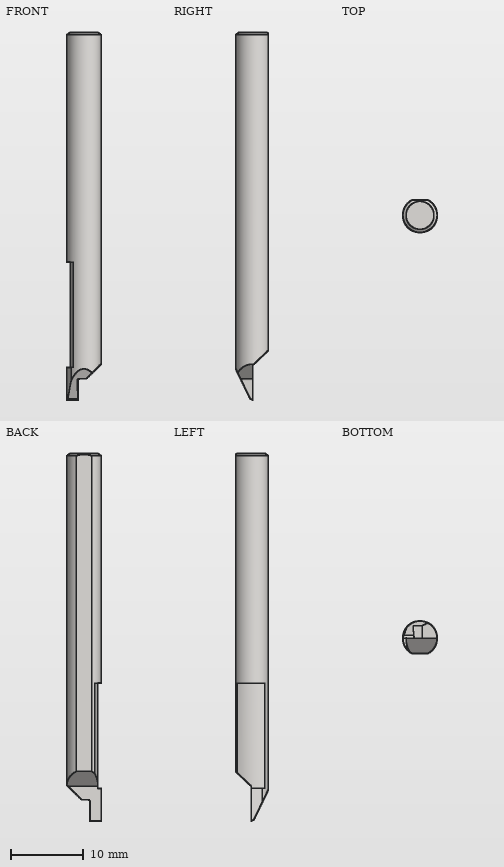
import cadquery as cq
import math

length = 50.8
diameter = 4.8
radius = diameter / 2
flat_y = 2.15
end_chamfer_radial = 0.45
end_chamfer_axial = 0.35

relief_bottom = 4.5
relief_top = 19.05
relief_depth = 0.45
relief_half_width = 1.9

rake_foot = 4.85
rake_top = 6.85
clearance_width = 1.6
heel_depth = 0.4
heel_height = 0.2
underside_top = 4.3
shoulder_height = 2.95
shoulder_edge_x = 0.3
bevel_top = 5.0
blade_width = 1.6
blade_taper = 5.0
shoulder_fillet = 0.25

margin = 1.0
outside = radius + margin


def make_shank():
    body = cq.Workplane("XY").circle(radius).extrude(length)
    body = body.faces(">Z").chamfer(end_chamfer_axial, end_chamfer_radial)
    beyond_flat = (
        cq.Workplane("XY")
        .box(2 * outside, margin, length, centered=(True, False, False))
        .translate((0, flat_y, 0))
    )
    return body.cut(beyond_flat)


def side_relief():
    edge_x = -math.sqrt(radius**2 - relief_half_width**2)
    return (
        cq.Workplane("XY", origin=(0, 0, relief_bottom))
        .moveTo(edge_x, -relief_half_width)
        .threePointArc((relief_depth - radius, 0), (edge_x, relief_half_width))
        .lineTo(-outside, relief_half_width)
        .lineTo(-outside, -relief_half_width)
        .close()
        .extrude(relief_top - relief_bottom)
    )


def rake_cut():
    slope = (rake_top - rake_foot) / flat_y
    profile = [
        (0, -margin),
        (0, rake_foot),
        (outside, rake_foot + slope * outside),
        (outside, -margin),
    ]
    return cq.Workplane("YZ").polyline(profile).close().extrude(outside, both=True)


def underside_cut():
    slope = (underside_top - heel_height) / (radius - heel_depth)
    profile = [
        (0, 0),
        (-heel_depth, heel_height),
        (-outside, heel_height + slope * (outside - heel_depth)),
        (-outside, -margin),
        (0, -margin),
    ]
    return cq.Workplane("YZ").polyline(profile).close().extrude(outside, both=True)


def side_clearance_cut():
    inner_x = -math.sqrt(radius**2 - clearance_width**2)
    profile = [
        (-radius, 0),
        (inner_x, -clearance_width),
        (-outside, -clearance_width),
        (-outside, 0),
    ]
    return cq.Workplane("XY").polyline(profile).close().extrude(relief_bottom)


def shoulder_bevel_cut():
    slope = (bevel_top - shoulder_height) / (radius - shoulder_edge_x)
    profile = [
        (shoulder_edge_x, shoulder_height),
        (outside, bevel_top + slope * margin),
        (outside, shoulder_height),
    ]
    return cq.Workplane("XZ").polyline(profile).close().extrude(outside, both=True)


def blade_side_cut():
    edge_x = blade_width - radius
    taper_x = edge_x - outside * math.tan(math.radians(blade_taper))
    profile = [
        (edge_x, 0),
        (taper_x, -outside),
        (outside, -outside),
        (outside, 0),
    ]
    cutter = cq.Workplane("XY").polyline(profile).close().extrude(shoulder_height)
    return cutter.faces(">Z").edges("<X").fillet(shoulder_fillet)


result = (
    make_shank()
    .cut(side_relief())
    .cut(rake_cut())
    .cut(underside_cut())
    .cut(side_clearance_cut())
    .cut(shoulder_bevel_cut())
    .cut(blade_side_cut())
)